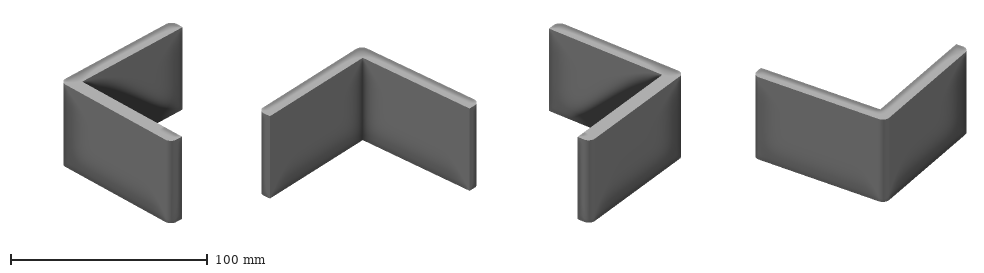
import cadquery as cq

leg_length = 80.0
thickness = 8.0
height = 50.0
edge_radius = 4.0

outer = -leg_length / 2
inner = outer + thickness
tip = leg_length / 2

angle = (
    cq.Workplane("XY")
    .polyline([
        (outer, outer),
        (tip, outer),
        (tip, inner),
        (inner, inner),
        (inner, tip),
        (outer, tip),
    ])
    .close()
    .extrude(height)
)

rounded_edges = (
    angle.edges("|Z and <X")
    .add(angle.edges("|Z and <Y"))
)
result = rounded_edges.fillet(edge_radius)